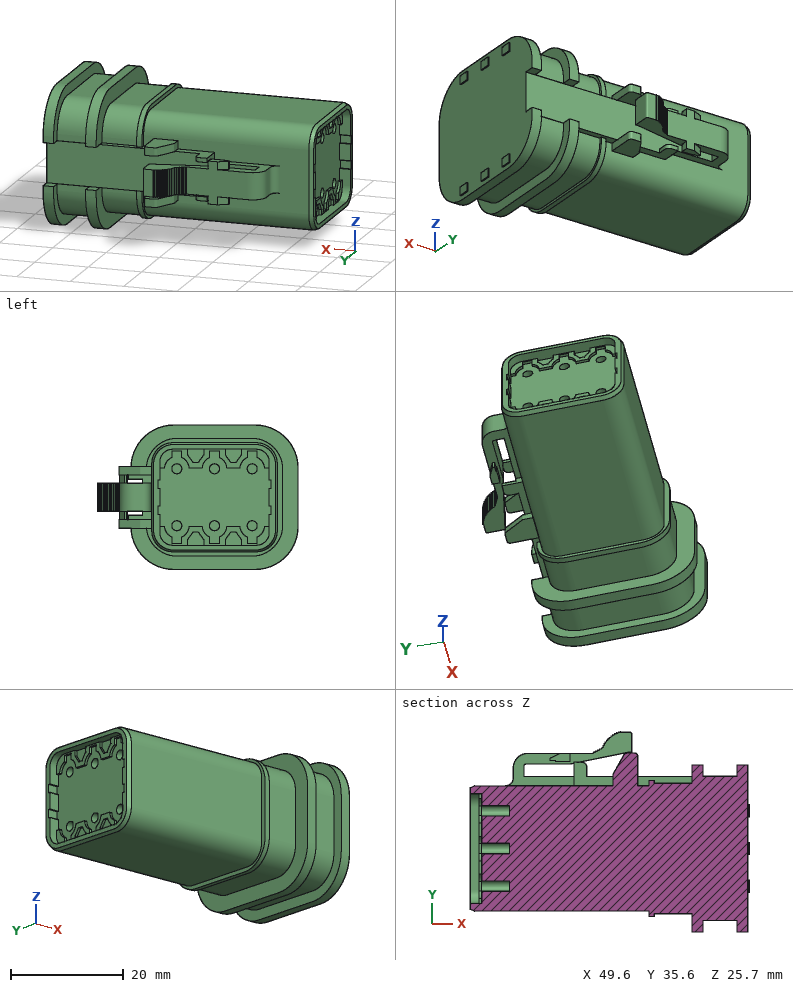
import cadquery as cq
import math


CHAMFER_END = 0.8
RING_START = 31.75
RING_END = 32.75
FRONT_FLANGE_START = 39.4
FRONT_FLANGE_END = 41.35
REAR_FLANGE_START = 47.35
REAR_FLANGE_END = 49.35
OVERALL_LENGTH = 49.6

OVERALL_Y = 35.65

BODY_Y, BODY_Z, BODY_R = 22.3, 19.4, 3.75
NECK_Y, NECK_Z, NECK_R = 23.2, 19.95, 4.95
RING_STEP = 0.5
FLANGE_Y, FLANGE_Z, FLANGE_R = 29.7, 25.7, 7.65
GROOVE_DEPTH = 2.0
NOSE_INSET = 0.35

CAVITY_Y, CAVITY_Z, CAVITY_R = 19.45, 17.05, 2.3
BORDER_DEPTH = 1.55
FLOOR_DEPTH = 2.05
KEYWAY_DEPTH = 0.35
KEYWAY_WIDTH = 1.55
KEYWAY_OFFSET = 2.35

PIN_PITCH = 6.7
PIN_COLUMNS = (-PIN_PITCH, 0, PIN_PITCH)
PIN_ROW = 5.05
PIN_DIAMETER = 1.8
PIN_HOLE_DEPTH = 4.95
PIN_POCKET_R = 2.2
RECESS_HALF_Z = 5.2
FINGER_WIDTH = 1.75
FINGER_TIP = 8.25
WEDGE_HALF_BASE = 1.45
WEDGE_HALF_TIP = 0.45
WEDGE_SHOULDER = 7.55
WEDGE_TIP = 6.15

ARM_WIDTH = 5.0
ARM_FRONT = 7.65
ARM_TOP = 16.9
ARM_UNDERSIDE = 15.0
ARM_WINDOW_START = 9.55
ARM_BEND_R = 2.65
ARM_FOOT_R = 1.35
ARM_WINDOW_R = 0.35

LEVER_START = 21.55
LEVER_KNEE = (23.4, 17.9)
LEVER_BACK_R = 4.9
LEVER_PEAK = 26.75
LEVER_END = 28.7
GRIP_DEPTH = 0.15
GRIP_TEETH_BELOW_KNEE = 5
GRIP_TEETH_ABOVE_KNEE = 12
LEVER_TOP = OVERALL_Y - FLANGE_Y / 2
LEVER_FLAT = LEVER_TOP - GRIP_DEPTH
LEVER_TIP_UNDERSIDE = 17.05
LEVER_CORNER_R = 0.35
UNDERSIDE_RISE_START = 17.75
UNDERSIDE_RISE_END = 28.0

DECK_TOP = 12.8
DECK_START = 18.45
DECK_HALF_Z = 3.95
POST_HALF_GAP = 3.15
POST_TOP = 15.35
POST_END = 20.75
POST_R = 0.85
RAMP_HALF_Z = 5.5
RAMP_FOOT = 13.15
RAMP_START = 25.35
RAMP_CREST = 27.5
RAMP_END = 29.8
RAMP_TOP = 16.95
RAMP_TOP_R = 0.6
RAMP_FOOT_R = 0.3

WING_START = 14.2
WING_CREST = 16.0
WING_STEP = 15.2
WING_END = 17.7
WING_NOSE_TOP = 16.0
WING_NOSE_BOTTOM = 15.6
WING_BOTTOM = 15.5

PAD_Y, PAD_Z = 2.2, 1.7
PAD_ROW = 11.1

LATCH_ROOT = BODY_Y / 2 - 0.5


def rounded_bar(x_start, x_end, size_y, size_z, radius):
    """Bar along X with a rounded-rectangle section."""
    bar = cq.Workplane("YZ", origin=(x_start, 0, 0)).rect(size_y, size_z).extrude(x_end - x_start)
    return bar.edges("|X").fillet(radius)


def box(x_range, y_range, z_range):
    """Box spanning the given (low, high) ranges."""
    (x0, x1), (y0, y1), (z0, z1) = x_range, y_range, z_range
    return cq.Workplane("XY").box(x1 - x0, y1 - y0, z1 - z0, centered=False).translate((x0, y0, z0))


def plate(outline, z_low, z_high):
    """Extrude a closed XY outline between two Z levels."""
    return outline.extrude(z_high - z_low).translate((0, 0, z_low))


def round_edge(solid, x, y, radius):
    """Fillet the Z-parallel edge closest to the given X and Y."""
    mid_z = solid.val().Center().z
    edge = cq.selectors.NearestToPointSelector((x, y, mid_z))
    return solid.edges("|Z").edges(edge).fillet(radius)


def mirrored_pair(solid):
    """The solid together with its mirror image across Z = 0."""
    return solid.union(solid.mirror("XY"))


def shell():
    body = rounded_bar(0, RING_START, BODY_Y, BODY_Z, BODY_R)
    body = body.faces("<X").chamfer(CHAMFER_END, NOSE_INSET)
    neck = rounded_bar(RING_START, FRONT_FLANGE_START, NECK_Y, NECK_Z, NECK_R)
    ring = rounded_bar(
        RING_START, RING_END, NECK_Y + 2 * RING_STEP, NECK_Z + 2 * RING_STEP, NECK_R + RING_STEP
    )
    groove = rounded_bar(
        FRONT_FLANGE_START,
        REAR_FLANGE_END,
        FLANGE_Y - 2 * GROOVE_DEPTH,
        FLANGE_Z - 2 * GROOVE_DEPTH,
        FLANGE_R - GROOVE_DEPTH,
    )
    solid = body.union(neck).union(ring).union(groove)
    for start, end in ((FRONT_FLANGE_START, FRONT_FLANGE_END), (REAR_FLANGE_START, REAR_FLANGE_END)):
        solid = solid.union(rounded_bar(start, end, FLANGE_Y, FLANGE_Z, FLANGE_R))
    return solid


def flange_notch():
    """Opening through both flanges behind the latch."""
    return box(
        (FRONT_FLANGE_START, REAR_FLANGE_END), (DECK_TOP, FLANGE_Y), (-DECK_HALF_Z, DECK_HALF_Z)
    )


def cavity():
    """Shallow pocket in the mating face with two keyways in each side wall."""
    pocket = rounded_bar(0, BORDER_DEPTH, CAVITY_Y, CAVITY_Z, CAVITY_R)
    keyway_half_y = CAVITY_Y / 2 + KEYWAY_DEPTH
    for center in (-KEYWAY_OFFSET, KEYWAY_OFFSET):
        pocket = pocket.union(
            box(
                (0, FLOOR_DEPTH),
                (-keyway_half_y, keyway_half_y),
                (center - KEYWAY_WIDTH / 2, center + KEYWAY_WIDTH / 2),
            )
        )
    return pocket


def floor_recess():
    """Deeper floor area: central panel, a pocket and finger per contact, wedges between contacts."""
    depth = (0, FLOOR_DEPTH)
    recess = box(depth, (-CAVITY_Y / 2, CAVITY_Y / 2), (-RECESS_HALF_Z, RECESS_HALF_Z))
    pockets = cq.Workplane("YZ").pushPoints([(y, PIN_ROW) for y in PIN_COLUMNS])
    upper = pockets.circle(PIN_POCKET_R).extrude(FLOOR_DEPTH)
    for y in PIN_COLUMNS:
        upper = upper.union(
            box(depth, (y - FINGER_WIDTH / 2, y + FINGER_WIDTH / 2), (PIN_ROW, FINGER_TIP))
        )
    for y in (-PIN_PITCH / 2, PIN_PITCH / 2):
        wedge = (
            cq.Workplane("YZ")
            .moveTo(y - WEDGE_HALF_BASE, CAVITY_Z / 2)
            .lineTo(y - WEDGE_HALF_BASE, WEDGE_SHOULDER)
            .lineTo(y - WEDGE_HALF_TIP, WEDGE_TIP)
            .lineTo(y + WEDGE_HALF_TIP, WEDGE_TIP)
            .lineTo(y + WEDGE_HALF_BASE, WEDGE_SHOULDER)
            .lineTo(y + WEDGE_HALF_BASE, CAVITY_Z / 2)
            .close()
            .extrude(FLOOR_DEPTH)
        )
        upper = upper.union(wedge)
    return recess.union(mirrored_pair(upper))


def contact_holes():
    centers = [(y, z) for y in PIN_COLUMNS for z in (-PIN_ROW, PIN_ROW)]
    holes = cq.Workplane("YZ").pushPoints(centers).circle(PIN_DIAMETER / 2)
    return holes.extrude(FLOOR_DEPTH + PIN_HOLE_DEPTH)


def grip_teeth():
    """Zigzag points of the thumb grip: up a straight ramp to the knee, then along a convex arc."""
    points = []
    knee_x, knee_y = LEVER_KNEE
    run, rise = knee_x - LEVER_START, knee_y - ARM_TOP
    slope = math.hypot(run, rise)
    inward_x, inward_y = GRIP_DEPTH * rise / slope, -GRIP_DEPTH * run / slope
    for tooth in range(GRIP_TEETH_BELOW_KNEE):
        root = (tooth + 0.5) / GRIP_TEETH_BELOW_KNEE
        tip = (tooth + 1) / GRIP_TEETH_BELOW_KNEE
        points.append((LEVER_START + run * root + inward_x, ARM_TOP + rise * root + inward_y))
        points.append((LEVER_START + run * tip, ARM_TOP + rise * tip))

    chord_x, chord_y = LEVER_PEAK - knee_x, LEVER_TOP - knee_y
    chord = math.hypot(chord_x, chord_y)
    center_drop = math.sqrt(LEVER_BACK_R**2 - (chord / 2) ** 2)
    center_x = knee_x + chord_x / 2 + center_drop * chord_y / chord
    center_y = knee_y + chord_y / 2 - center_drop * chord_x / chord
    start = math.atan2(knee_y - center_y, knee_x - center_x)
    step = -2 * math.asin(chord / 2 / LEVER_BACK_R) / GRIP_TEETH_ABOVE_KNEE
    for tooth in range(GRIP_TEETH_ABOVE_KNEE):
        for share, radius in ((0.5, LEVER_BACK_R - GRIP_DEPTH), (1, LEVER_BACK_R)):
            angle = start + step * (tooth + share)
            points.append((center_x + radius * math.cos(angle), center_y + radius * math.sin(angle)))
    return points


def latch_arm():
    """Hooked spring arm with a thumb lever at its free end."""
    foot_y = BODY_Y / 2
    bend_mid = ARM_BEND_R * (1 - 0.5**0.5)
    foot_mid = ARM_FOOT_R * (1 - 0.5**0.5)
    outline = (
        cq.Workplane("XY")
        .moveTo(ARM_FRONT - ARM_FOOT_R, LATCH_ROOT)
        .lineTo(ARM_FRONT - ARM_FOOT_R, foot_y)
        .threePointArc((ARM_FRONT - foot_mid, foot_y + foot_mid), (ARM_FRONT, foot_y + ARM_FOOT_R))
        .lineTo(ARM_FRONT, ARM_TOP - ARM_BEND_R)
        .threePointArc(
            (ARM_FRONT + bend_mid, ARM_TOP - bend_mid), (ARM_FRONT + ARM_BEND_R, ARM_TOP)
        )
        .lineTo(LEVER_START, ARM_TOP)
    )
    for x, y in grip_teeth():
        outline = outline.lineTo(x, y)
    outline = (
        outline
        .lineTo(LEVER_PEAK, LEVER_FLAT)
        .lineTo(LEVER_END, LEVER_FLAT)
        .lineTo(LEVER_END, LEVER_TIP_UNDERSIDE)
        .lineTo(UNDERSIDE_RISE_END, LEVER_TIP_UNDERSIDE)
        .lineTo(UNDERSIDE_RISE_START, ARM_UNDERSIDE)
        .lineTo(ARM_WINDOW_START, ARM_UNDERSIDE)
        .lineTo(ARM_WINDOW_START, DECK_TOP)
        .lineTo(DECK_START, DECK_TOP)
        .lineTo(DECK_START, LATCH_ROOT)
        .close()
    )
    arm = plate(outline, -ARM_WIDTH / 2, ARM_WIDTH / 2)
    arm = round_edge(arm, LEVER_END, LEVER_FLAT, LEVER_CORNER_R)
    return round_edge(arm, ARM_WINDOW_START, ARM_UNDERSIDE, ARM_WINDOW_R)


def latch_wing():
    """Hook on one side of the arm, with a sloped nose."""
    outline = cq.Workplane("XY").polyline(
        [
            (WING_START, WING_NOSE_BOTTOM),
            (WING_START, WING_NOSE_TOP),
            (WING_CREST, ARM_TOP),
            (WING_END, ARM_TOP),
            (WING_END, WING_BOTTOM),
            (WING_STEP, WING_BOTTOM),
            (WING_STEP, WING_NOSE_BOTTOM),
        ]
    ).close()
    return plate(outline, ARM_WIDTH / 2, DECK_HALF_Z)


def latch_deck():
    return box((DECK_START, FRONT_FLANGE_START), (LATCH_ROOT, DECK_TOP), (-DECK_HALF_Z, DECK_HALF_Z))


def guard_post():
    """Upright beside the arm, rounded at its rear top edge."""
    post = box((DECK_START, POST_END), (LATCH_ROOT, POST_TOP), (POST_HALF_GAP, DECK_HALF_Z))
    return post.edges(">X and >Y").fillet(POST_R)


def guard_ramp():
    """Sloped guard beside the lever tip."""
    outline = cq.Workplane("XY").polyline(
        [
            (RAMP_START, BODY_Y / 2 - BODY_R),
            (RAMP_START, RAMP_FOOT),
            (RAMP_CREST, RAMP_TOP),
            (RAMP_END, RAMP_TOP),
            (RAMP_END, BODY_Y / 2 - BODY_R),
        ]
    ).close()
    ramp = plate(outline, DECK_HALF_Z, RAMP_HALF_Z)
    ramp = ramp.faces(">Y").edges("|Z").fillet(RAMP_TOP_R)
    return round_edge(ramp, RAMP_START, RAMP_FOOT, RAMP_FOOT_R)


def rear_pads():
    centers = [(y, z) for y in PIN_COLUMNS for z in (-PAD_ROW, PAD_ROW)]
    pads = cq.Workplane("YZ", origin=(REAR_FLANGE_END, 0, 0)).pushPoints(centers)
    return pads.rect(PAD_Y, PAD_Z).extrude(OVERALL_LENGTH - REAR_FLANGE_END)


result = shell().cut(flange_notch())
result = result.union(latch_deck()).union(latch_arm())
for side_feature in (latch_wing(), guard_post(), guard_ramp()):
    result = result.union(mirrored_pair(side_feature))
result = result.union(rear_pads())
result = result.cut(cavity()).cut(floor_recess()).cut(contact_holes())